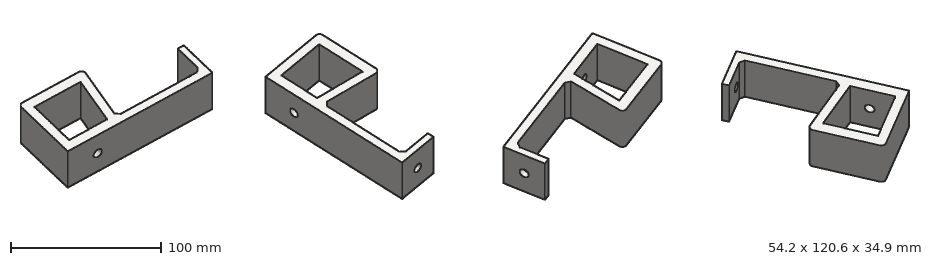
import cadquery as cq
import math

width = 54.2
length = 120.6
height = 34.9

spine_thickness = 6.5
flange_thickness = 5.1
left_wall = 8.1
right_wall = 7.8
bottom_wall = 7.1

flange_length = 31.7
corner_chamfer = 3.0
corner_radius = 3.1
pocket_depth_left = 38.4
box_slope = math.tan(math.radians(10))
box_height_left = 53.8

hole_diameter = 6.9
wall_hole_y = 25.1

spine_x = width - spine_thickness
flange_y = length - flange_thickness
mid_height = height / 2


def box_top(x):
    """Y of the sloped outer face of the box."""
    return box_height_left - box_slope * x


def make_body():
    chamfer_x = spine_x - corner_chamfer
    outline = [
        (0, 0),
        (width, 0),
        (width, length),
        (width - flange_length, length),
        (width - flange_length, flange_y),
        (chamfer_x, flange_y),
        (spine_x, flange_y - corner_chamfer),
        (spine_x, box_top(chamfer_x) + corner_chamfer),
        (chamfer_x, box_top(chamfer_x)),
        (0, box_height_left),
    ]
    body = cq.Workplane("XY").polyline(outline).close().extrude(height)
    return body.edges("|Z and <X").fillet(corner_radius)


def make_pocket():
    pocket_right = width - right_wall
    pocket_top = bottom_wall + pocket_depth_left
    pocket_width = pocket_right - left_wall
    outline = [
        (left_wall, bottom_wall),
        (pocket_right, bottom_wall),
        (pocket_right, pocket_top - box_slope * pocket_width),
        (left_wall, pocket_top),
    ]
    return cq.Workplane("XY").polyline(outline).close().extrude(height)


def make_hole(start, direction, depth):
    cylinder = cq.Solid.makeCylinder(hole_diameter / 2, depth, cq.Vector(*start), cq.Vector(*direction))
    return cq.Workplane(cylinder)


flange_hole = make_hole(
    (width - flange_length / 2, flange_y, mid_height), (0, 1, 0), flange_thickness
)
wall_hole = make_hole((width - right_wall, wall_hole_y, mid_height), (1, 0, 0), right_wall)

result = make_body().cut(make_pocket()).cut(flange_hole).cut(wall_hole)